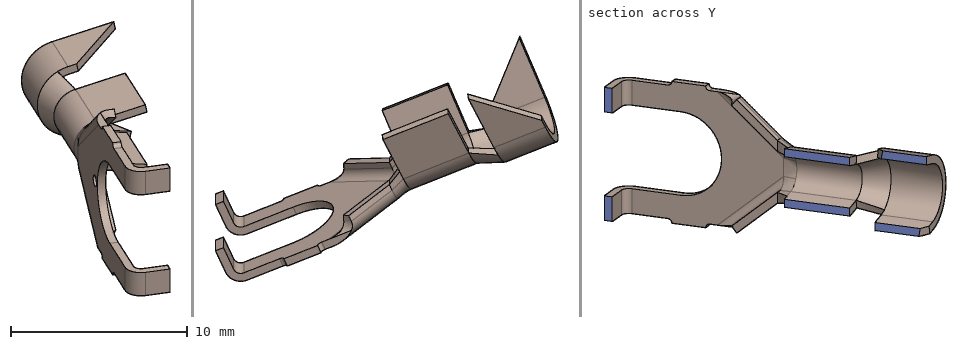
import cadquery as cq
import math

LENGTH = 19.84
SHEET = 0.5

STRAIN_END = 3.17
CRIMP_START = 4.72
CRIMP_END = 8.75
FORK_START = 9.56

ARM_SPLAY = 11.5
STRAIN_RADIUS = 2.26
STRAIN_BOTTOM = -0.52
STRAIN_ARM = 3.71
STRAIN_ARM_SHORT = 0.52
CRIMP_RADIUS = 1.59
CRIMP_ARM = 3.0

NECK_CUT_ANGLE = 28.0

THROAT_ARM = 0.54
THROAT_FLOOR_ANGLE = 29.0

FORK_HALF_WIDTH = 3.97
FLOOR_WIDTH = 1.1
FLARE_ANGLE = 40.0
FLARE_BEND = 1.01
FLARE_HEIGHT = 1.39
SLOT_RADIUS = 2.48
SLOT_CENTER = 15.87
PRONG_BEND = 0.93
PRONG_HEIGHT = 2.38
TAB_START = 14.36
TAB_END = 16.45
TAB_SPAN = 8.43
DIMPLE_X = 12.9
DIMPLE_DIAMETER = 0.65
DIMPLE_DEPTH = 0.15

FLOOR_HALF_WIDTH = FLOOR_WIDTH / 2
TAB_HEIGHT = TAB_SPAN / 2 - FORK_HALF_WIDTH
STRAIN_CENTER = STRAIN_BOTTOM + STRAIN_RADIUS
CRIMP_CENTER = CRIMP_RADIUS
SPLAY_SIN = math.sin(math.radians(ARM_SPLAY))
SPLAY_COS = math.cos(math.radians(ARM_SPLAY))
FLARE_SIN = math.sin(math.radians(FLARE_ANGLE))
FLARE_COS = math.cos(math.radians(FLARE_ANGLE))
FLARE_RUN = (FORK_HALF_WIDTH - FLOOR_HALF_WIDTH) / math.tan(math.radians(FLARE_ANGLE))
FLOOR_CORNER = FORK_START + FLARE_RUN
WING_CORNER = FLOOR_CORNER - FLARE_BEND / FLARE_SIN
BEND_INNER = FLARE_BEND - SHEET
COS_45 = math.sqrt(0.5)


def rim_point(center, radius, below):
    """(y, z) on a barrel circle at an angle below its horizontal diameter, on the +Z side."""
    angle = math.radians(below)
    return (center - radius * math.sin(angle), radius * math.cos(angle))


def along_arm(point, length):
    """Move a (y, z) point up along the +Z arm."""
    return (point[0] + length * SPLAY_COS, point[1] + length * SPLAY_SIN)


def flip(point):
    """Mirror a (y, z) point to the -Z side."""
    return (point[0], -point[1])


def arc_section(work, center, radius, below):
    """Round trough without arms, with radial side edges."""
    inner = radius - SHEET
    outer_edge = rim_point(center, radius, below)
    inner_edge = rim_point(center, inner, below)
    return (
        work.moveTo(*outer_edge)
        .threePointArc((center - radius, 0), flip(outer_edge))
        .lineTo(*flip(inner_edge))
        .threePointArc((center - inner, 0), inner_edge)
        .close()
    )


def barrel(start, end, center, radius, arm):
    """Open barrel with a round bottom and two splayed arms."""
    inner = radius - SHEET
    outer_edge = rim_point(center, radius, ARM_SPLAY)
    inner_edge = rim_point(center, inner, ARM_SPLAY)
    outer_tip = along_arm(outer_edge, arm)
    inner_tip = along_arm(inner_edge, arm)
    return (
        cq.Workplane("YZ", origin=(start, 0, 0))
        .moveTo(*outer_tip)
        .lineTo(*outer_edge)
        .threePointArc((center - radius, 0), flip(outer_edge))
        .lineTo(*flip(outer_tip))
        .lineTo(*flip(inner_tip))
        .lineTo(*flip(inner_edge))
        .threePointArc((center - inner, 0), inner_edge)
        .lineTo(*inner_tip)
        .close()
        .extrude(end - start)
    )


def arm_trim(side):
    """Triangle that slants one insulation arm; the two arms slant opposite ways."""
    edge_y, edge_z = rim_point(STRAIN_CENTER, STRAIN_RADIUS, ARM_SPLAY)
    high_x, low_x = (0, STRAIN_END) if side > 0 else (STRAIN_END, 0)
    arm_plane = cq.Plane(
        origin=(0, edge_y, side * edge_z),
        xDir=(1, 0, 0),
        normal=(0, -SPLAY_SIN, side * SPLAY_COS),
    )
    return (
        cq.Workplane(arm_plane)
        .moveTo(high_x, side * STRAIN_ARM)
        .lineTo(low_x, side * STRAIN_ARM_SHORT)
        .lineTo(low_x, side * 2 * STRAIN_ARM)
        .lineTo(high_x, side * 2 * STRAIN_ARM)
        .close()
        .extrude(SHEET, both=True)
    )


def neck():
    """Ruled trough joining the insulation barrel to the wire barrel."""
    work = arc_section(
        cq.Workplane("YZ", origin=(STRAIN_END, 0, 0)), STRAIN_CENTER, STRAIN_RADIUS, NECK_CUT_ANGLE
    )
    work = arc_section(
        work.workplane(offset=CRIMP_START - STRAIN_END), CRIMP_CENTER, CRIMP_RADIUS, ARM_SPLAY
    )
    return work.loft(ruled=True)


def throat():
    """Ruled trough joining the wire barrel to the flat floor and upturned sides of the fork."""
    floor_below = 90 - THROAT_FLOOR_ANGLE
    bend_middle = (ARM_SPLAY + floor_below) / 2

    def circle_points(radius):
        """Tip, arm foot, middle of the bend and floor corner on the +Z side of the barrel end."""
        foot = rim_point(CRIMP_CENTER, radius, ARM_SPLAY)
        middle = rim_point(CRIMP_CENTER, radius, bend_middle)
        corner = rim_point(CRIMP_CENTER, radius, floor_below)
        return along_arm(foot, THROAT_ARM), foot, middle, corner

    inner_radius = CRIMP_RADIUS - SHEET
    outer_tip, outer_foot, outer_middle, outer_corner = circle_points(CRIMP_RADIUS)
    inner_tip, inner_foot, inner_middle, inner_corner = circle_points(inner_radius)
    barrel_end = (
        cq.Workplane("YZ", origin=(CRIMP_END, 0, 0))
        .moveTo(*outer_tip)
        .lineTo(*outer_foot)
        .threePointArc(outer_middle, outer_corner)
        .threePointArc((CRIMP_CENTER - CRIMP_RADIUS, 0), flip(outer_corner))
        .threePointArc(flip(outer_middle), flip(outer_foot))
        .lineTo(*flip(outer_tip))
        .lineTo(*flip(inner_tip))
        .lineTo(*flip(inner_foot))
        .threePointArc(flip(inner_middle), flip(inner_corner))
        .threePointArc((CRIMP_CENTER - inner_radius, 0), inner_corner)
        .threePointArc(inner_middle, inner_foot)
        .lineTo(*inner_tip)
        .close()
    )
    outer_width = FLARE_BEND / FLARE_COS
    inner_width = BEND_INNER / FLARE_COS
    outer_wall = FLOOR_HALF_WIDTH + outer_width
    inner_wall = FLOOR_HALF_WIDTH + inner_width
    return (
        barrel_end.workplane(offset=FORK_START - CRIMP_END)
        .moveTo(FLARE_HEIGHT, outer_wall)
        .lineTo(FLARE_BEND, outer_wall)
        .ellipseArc(FLARE_BEND, outer_width, 90, 180, sense=1)
        .lineTo(0, -FLOOR_HALF_WIDTH)
        .ellipseArc(FLARE_BEND, outer_width, 180, 270, sense=1)
        .lineTo(FLARE_HEIGHT, -outer_wall)
        .lineTo(FLARE_HEIGHT, -inner_wall)
        .lineTo(FLARE_BEND, -inner_wall)
        .ellipseArc(BEND_INNER, inner_width, 180, 270, sense=-1)
        .lineTo(SHEET, FLOOR_HALF_WIDTH)
        .ellipseArc(BEND_INNER, inner_width, 90, 180, sense=-1)
        .lineTo(FLARE_HEIGHT, inner_wall)
        .close()
        .loft(ruled=True)
    )


def wing_end_cutter():
    """Twisted block that turns the wing's end face from the fork side plane to the wing's normal."""
    reach = FLARE_RUN / 2
    far_x = WING_CORNER + 2 * reach
    far_z = 2 * FORK_HALF_WIDTH
    turned = (WING_CORNER + reach * FLARE_SIN, FORK_HALF_WIDTH - reach * FLARE_COS)
    return (
        cq.Workplane("XZ", origin=(0, SHEET, 0))
        .moveTo(WING_CORNER, FORK_HALF_WIDTH)
        .lineTo(WING_CORNER + reach, FORK_HALF_WIDTH)
        .lineTo(far_x, far_z)
        .lineTo(WING_CORNER, far_z)
        .close()
        .workplane(offset=SHEET - FLARE_HEIGHT)
        .moveTo(WING_CORNER, FORK_HALF_WIDTH)
        .lineTo(*turned)
        .lineTo(far_x, far_z)
        .lineTo(WING_CORNER, far_z)
        .close()
        .loft(ruled=True)
    )


def wing():
    """Upturned +Z side of the fork: a bend and a short wall, swept along the flare."""
    flare_plane = cq.Plane(
        origin=(FORK_START, 0, FLOOR_HALF_WIDTH),
        xDir=(FLARE_SIN, 0, -FLARE_COS),
        normal=(FLARE_COS, 0, FLARE_SIN),
    )
    overshoot = 2 * FLARE_BEND
    length = FLARE_RUN / FLARE_COS
    swept = (
        cq.Workplane(flare_plane)
        .workplane(offset=-overshoot)
        .moveTo(0, 0)
        .threePointArc((-FLARE_BEND * COS_45, FLARE_BEND * (1 - COS_45)), (-FLARE_BEND, FLARE_BEND))
        .lineTo(-FLARE_BEND, FLARE_HEIGHT)
        .lineTo(-BEND_INNER, FLARE_HEIGHT)
        .lineTo(-BEND_INNER, FLARE_BEND)
        .threePointArc((-BEND_INNER * COS_45, FLARE_BEND - BEND_INNER * COS_45), (0, SHEET))
        .close()
        .extrude(length + 2 * overshoot)
    )
    bounds = cq.Workplane("XY", origin=(FORK_START, 0, 0)).box(
        LENGTH - FORK_START, FLARE_HEIGHT, FORK_HALF_WIDTH, centered=False
    )
    return swept.intersect(bounds).cut(wing_end_cutter())


def floor_plate():
    """Flat fork floor with the round-ended slot and the dimple on its outer face."""
    bend_start = LENGTH - PRONG_BEND
    plate = (
        cq.Workplane("XZ")
        .moveTo(FORK_START, FLOOR_HALF_WIDTH)
        .lineTo(FLOOR_CORNER, FORK_HALF_WIDTH)
        .lineTo(bend_start, FORK_HALF_WIDTH)
        .lineTo(bend_start, -FORK_HALF_WIDTH)
        .lineTo(FLOOR_CORNER, -FORK_HALF_WIDTH)
        .lineTo(FORK_START, -FLOOR_HALF_WIDTH)
        .close()
        .extrude(-SHEET)
    )
    slot = (
        cq.Workplane("XZ")
        .moveTo(LENGTH, SLOT_RADIUS)
        .lineTo(SLOT_CENTER, SLOT_RADIUS)
        .threePointArc((SLOT_CENTER - SLOT_RADIUS, 0), (SLOT_CENTER, -SLOT_RADIUS))
        .lineTo(LENGTH, -SLOT_RADIUS)
        .close()
        .extrude(-SHEET)
    )
    dimple = cq.Workplane("XZ").center(DIMPLE_X, 0).circle(DIMPLE_DIAMETER / 2).extrude(-DIMPLE_DEPTH)
    return plate.cut(slot).cut(dimple)


def side_tab():
    """Low tab on the +Z side of the fork, blended at both ends by concave arcs."""
    top = FORK_HALF_WIDTH + TAB_HEIGHT
    sag = TAB_HEIGHT * (1 - COS_45)
    return (
        cq.Workplane("XZ")
        .moveTo(TAB_START - TAB_HEIGHT, FORK_HALF_WIDTH)
        .threePointArc((TAB_START - sag, FORK_HALF_WIDTH + sag), (TAB_START, top))
        .lineTo(TAB_END, top)
        .threePointArc((TAB_END + sag, FORK_HALF_WIDTH + sag), (TAB_END + TAB_HEIGHT, FORK_HALF_WIDTH))
        .lineTo(TAB_END, SLOT_RADIUS)
        .lineTo(TAB_START, SLOT_RADIUS)
        .close()
        .extrude(-SHEET)
    )


def prong_tip():
    """Tip of the +Z prong, bent up to a right angle."""
    inner = PRONG_BEND - SHEET
    center_x = LENGTH - PRONG_BEND
    return (
        cq.Workplane("XY", origin=(0, 0, SLOT_RADIUS))
        .moveTo(center_x, 0)
        .threePointArc((center_x + PRONG_BEND * COS_45, PRONG_BEND * (1 - COS_45)), (LENGTH, PRONG_BEND))
        .lineTo(LENGTH, PRONG_HEIGHT)
        .lineTo(LENGTH - SHEET, PRONG_HEIGHT)
        .lineTo(LENGTH - SHEET, PRONG_BEND)
        .threePointArc((center_x + inner * COS_45, PRONG_BEND - inner * COS_45), (center_x, SHEET))
        .close()
        .extrude(FORK_HALF_WIDTH - SLOT_RADIUS)
    )


strain_barrel = barrel(0, STRAIN_END, STRAIN_CENTER, STRAIN_RADIUS, STRAIN_ARM)
strain_barrel = strain_barrel.cut(arm_trim(1)).cut(arm_trim(-1))
wire_barrel = barrel(CRIMP_START, CRIMP_END, CRIMP_CENTER, CRIMP_RADIUS, CRIMP_ARM)

result = strain_barrel.union(neck()).union(wire_barrel).union(throat()).union(floor_plate())
for half_part in (wing(), side_tab(), prong_tip()):
    result = result.union(half_part).union(half_part.mirror("XY"))